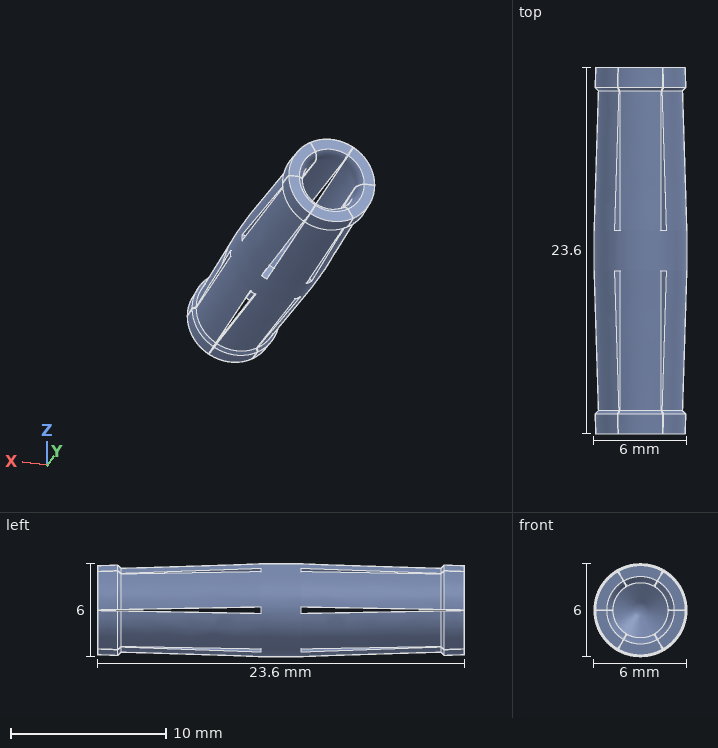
import cadquery as cq
import math

length = 23.6
band_diameter = 6.0
band_length = 2.6

collar_length = 1.3
collar_end_radius = 2.88
collar_lip_radius = 2.93
neck_radius = 2.71
neck_distance = 1.5

mouth_radius = 2.17
throat_radius = 1.77
throat_depth = 0.8
drill_point_angle = 118.0

slot_count = 6
slot_end_width = 0.02
slot_root_width = 0.4

half_length = length / 2
half_band = band_length / 2
band_radius = band_diameter / 2

bore_root_radius = throat_radius + band_radius - neck_radius
drill_point_depth = bore_root_radius / math.tan(math.radians(drill_point_angle / 2))
drill_point_y = half_band - drill_point_depth

mouth_flare = mouth_radius - throat_radius
mouth_round_radius = (throat_depth**2 + mouth_flare**2) / (2 * mouth_flare)


def sleeve():
    """Revolve the whole wall about Y, with a blind bore in each end."""
    profile = (
        cq.Workplane("XY")
        .moveTo(0, drill_point_y)
        .lineTo(bore_root_radius, half_band)
        .lineTo(throat_radius, half_length - throat_depth)
        .radiusArc((mouth_radius, half_length), mouth_round_radius)
        .lineTo(collar_end_radius, half_length)
        .lineTo(collar_lip_radius, half_length - collar_length)
        .lineTo(neck_radius, half_length - neck_distance)
        .lineTo(band_radius, half_band)
        .lineTo(band_radius, -half_band)
        .lineTo(neck_radius, neck_distance - half_length)
        .lineTo(collar_lip_radius, collar_length - half_length)
        .lineTo(collar_end_radius, -half_length)
        .lineTo(mouth_radius, -half_length)
        .radiusArc((throat_radius, throat_depth - half_length), mouth_round_radius)
        .lineTo(bore_root_radius, -half_band)
        .lineTo(0, -drill_point_y)
        .close()
    )
    return profile.revolve(360, (0, 0, 0), (0, 1, 0))


def slot_cutter(angle):
    """Wedge-shaped radial slot running from the band to the +Y end face."""
    wedge = (
        cq.Workplane("YZ")
        .polyline([
            (half_band, -slot_root_width / 2),
            (half_length, -slot_end_width / 2),
            (half_length, slot_end_width / 2),
            (half_band, slot_root_width / 2),
        ])
        .close()
        .extrude(band_diameter)
    )
    return wedge.rotate((0, 0, 0), (0, 1, 0), angle)


result = sleeve()
for index in range(slot_count):
    cutter = slot_cutter(index * 360 / slot_count)
    result = result.cut(cutter).cut(cutter.mirror("XZ"))